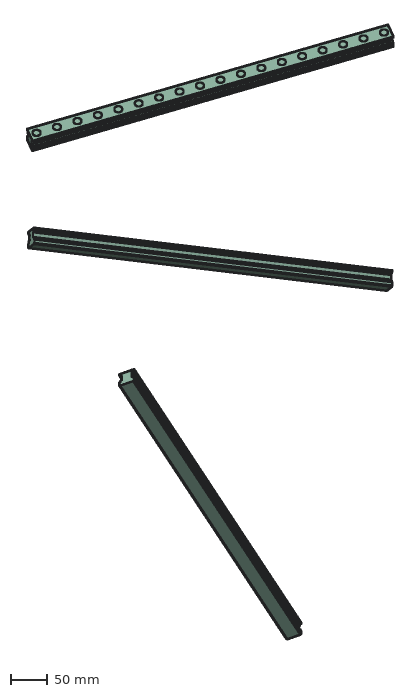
import cadquery as cq

rail_width = 23.0
rail_length = 530.0
rail_height = 23.6
half_width = rail_width / 2

waist_half_width = 7.4
waist_bottom = 11.2
waist_top = 17.7

step_half_width = 9.7
step_bottom = waist_top + (step_half_width - waist_half_width)
step_top = 21.6
lip_bottom = 21.9
top_chamfer = 0.4

shoulder_half_width = 9.8
shoulder_height = 1.0
shoulder_top = waist_bottom - (shoulder_half_width - waist_half_width)
shoulder_bottom = shoulder_top - shoulder_height
foot_side_top = shoulder_bottom - (half_width - shoulder_half_width)
bottom_chamfer = 1.5

seat_count = 18
seat_pitch = 30.0
seat_diameter = 11.0
seat_depth = 0.1


def rail_body():
    """Symmetric rail section, extruded along Y and centred on the origin in X and Y."""
    right_side = [
        (half_width - bottom_chamfer, 0),
        (half_width, bottom_chamfer),
        (half_width, foot_side_top),
        (shoulder_half_width, shoulder_bottom),
        (shoulder_half_width, shoulder_top),
        (waist_half_width, waist_bottom),
        (waist_half_width, waist_top),
        (step_half_width, step_bottom),
        (step_half_width, step_top),
        (half_width, lip_bottom),
        (half_width, rail_height - top_chamfer),
        (half_width - top_chamfer, rail_height),
    ]
    left_side = [(-x, z) for x, z in reversed(right_side)]
    section = cq.Workplane("XZ").polyline(right_side + left_side).close()
    return section.extrude(rail_length / 2, both=True)


def round_seats():
    """Shallow round recesses, evenly spaced along the centreline of the top face."""
    return (
        cq.Workplane("XY", origin=(0, 0, rail_height - seat_depth))
        .rarray(1, seat_pitch, 1, seat_count)
        .circle(seat_diameter / 2)
        .extrude(seat_depth)
    )


result = rail_body().cut(round_seats())